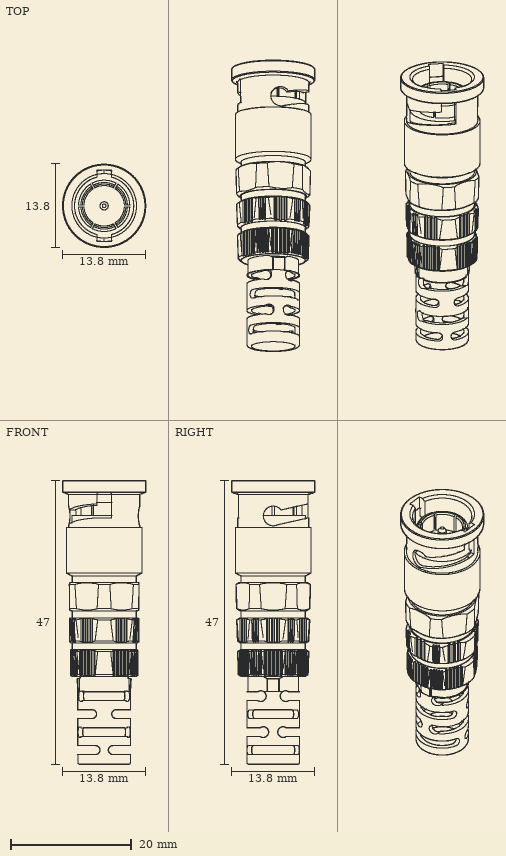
import cadquery as cq
import math

total_height = 47.0

flange_radius = 6.9
flange_bottom = 44.95
flange_edge = 0.15
collar_radius = 5.9
collar_top = 44.65
sleeve_radius = 6.28
sleeve_top = 39.2
sleeve_bottom = 31.15
sleeve_chamfer_height = 0.5
mouth_radius = 5.35
mouth_depth = 0.4
mating_bore_radius = 4.9

entry_half_width = 1.22
entry_depth_radius = 5.92
entry_bottom = 40.8
ramp_height = 2.33
ramp_slope = 0.225
seat_radius = 1.63
seat_height = 41.1
channel_reach = 8.0

core_radius = 5.33
core_top = 41.2
boot_shoulder = 14.5

contact_bore_radius = 3.35
contact_radius = 3.85
contact_tip_radius = 4.25
contact_mouth_chamfer = 0.25
contact_bulge_bottom = 43.35
contact_top = 44.65
contact_slit_count = 6
contact_slit_width = 0.35
pin_radius = 0.68
pin_tip_radius = 0.3
pin_top = 44.1
pin_tip_height = 0.5

nut_edge_height = 0.35
nut_edge_depth = 0.55
flat_half_width = 1.75
rib_half_width = 0.7
rib_overshoot = 0.1
wrench_apothem = 5.73
wrench_bottom = 25.4
wrench_top = 30.1
wrench_radius_top = 6.2
wrench_radius_bottom = 6.08
upper_knurl_apothem = 5.73
upper_knurl_bottom = 20.05
upper_knurl_top = 24.25
upper_knurl_radius_top = 6.08
upper_knurl_radius_bottom = 5.94
lower_knurl_apothem = 5.6
lower_knurl_top = 19.0
lower_knurl_radius_top = 5.94
lower_knurl_radius_bottom = 5.8
knurl_depth = 0.2
upper_flat_grooves = 3
upper_flat_groove_pitch = 0.83
upper_corner_grooves = 3
lower_flat_grooves = 5
lower_flat_groove_pitch = 0.66
lower_corner_grooves = 5
corner_groove_pitch = 0.45
groove_mouth_share = 0.6
groove_floor_share = 0.25

boot_radius = 4.37
boot_neck_radius = 4.2
boot_neck_bottom = 12.05
boot_bore_radius = 3.6
boot_bottom_fillet = 0.35
slot_pitch = 2.975
lowest_slot_height = 2.36
slot_height = 1.44
relief_radius = 0.87
web_half_widths = (0.71, 0.77, 1.27, 1.18)

tab_radius_top = 4.5
tab_top = 14.22
tab_half_width = 1.03
tab_chamfer = 0.12
window_top_half_width = 1.58


def revolve_profile(points):
    """Solid of revolution about Z from (radius, height) points."""
    return cq.Workplane("XZ").polyline(points).close().revolve(360, (0, 0, 0), (0, 1, 0))


def cylinder(radius, bottom, top):
    return cq.Workplane("XY").workplane(offset=bottom).circle(radius).extrude(top - bottom)


def spun(shape, angle):
    return shape.rotate((0, 0, 0), (0, 0, 1), angle)



def bayonet_channel():
    """Cutter for one side: entry groove at -Y, ramp falling to the round seat at -X."""
    entry = cq.Workplane("XY").box(
        2 * entry_half_width, entry_depth_radius, total_height - entry_bottom, centered=(True, False, False)
    ).translate((0, -entry_depth_radius, entry_bottom))
    entry_end = -channel_reach
    seat_bottom = seat_height - seat_radius
    rise = -entry_end * ramp_slope
    ramp = (
        cq.Workplane("YZ")
        .polyline([
            (0, seat_bottom),
            (entry_end, seat_bottom + rise),
            (entry_end, seat_bottom + rise + ramp_height),
            (0, seat_bottom + ramp_height),
        ])
        .close()
        .extrude(-channel_reach)
    )
    seat = cq.Workplane("YZ").center(0, seat_height).circle(seat_radius).extrude(-channel_reach)
    return entry.union(ramp).union(seat)


def make_coupling():
    coupling = revolve_profile([
        (mating_bore_radius, core_top),
        (mating_bore_radius, total_height - mouth_depth),
        (mouth_radius, total_height),
        (flange_radius - flange_edge, total_height),
        (flange_radius, total_height - flange_edge),
        (flange_radius, flange_bottom + flange_edge),
        (flange_radius - flange_edge, flange_bottom),
        (collar_radius, collar_top),
        (collar_radius, sleeve_top),
        (sleeve_radius, sleeve_top),
        (sleeve_radius, sleeve_bottom + sleeve_chamfer_height),
        (core_radius, sleeve_bottom),
        (core_radius, core_top),
    ])
    channel = bayonet_channel()
    for angle in (0, 180):
        coupling = coupling.cut(spun(channel, angle))
    return coupling



def nut_envelope(bottom, top, radius_bottom, radius_top):
    """Slightly conical blank with bevelled ends that trims a nut's corners."""
    return revolve_profile([
        (0, bottom),
        (radius_bottom - nut_edge_depth, bottom),
        (radius_bottom, bottom + nut_edge_height),
        (radius_top, top - nut_edge_height),
        (radius_top - nut_edge_depth, top),
        (0, top),
    ])


def ribbed_prism(apothem, rib_radius, bottom, top):
    """Six-sided prism with one flat facing +X and a raised rib on each corner."""
    points = []
    for side in range(6):
        for radial, across, axis_angle in (
            (apothem, -flat_half_width, 0),
            (apothem, flat_half_width, 0),
            (rib_radius + rib_overshoot, -rib_half_width, 30),
            (rib_radius + rib_overshoot, rib_half_width, 30),
        ):
            angle = math.radians(60 * side + axis_angle)
            points.append((
                radial * math.cos(angle) - across * math.sin(angle),
                radial * math.sin(angle) + across * math.cos(angle),
            ))
    return cq.Workplane("XY").workplane(offset=bottom).polyline(points).close().extrude(top - bottom)


def hexagonal_prism(apothem, bottom, top):
    """Plain hexagonal prism with one flat facing +X."""
    corner_diameter = 2 * apothem / math.cos(math.pi / 6)
    prism = cq.Workplane("XY").workplane(offset=bottom).polygon(6, corner_diameter).extrude(top - bottom)
    return spun(prism, 30)


def groove_row(surface_radius, count, pitch, bottom, top):
    """Row of parallel tapered grooves cut into a face looking along +X."""
    root = surface_radius - knurl_depth
    outside = surface_radius + knurl_depth
    floor_half_width = pitch * groove_floor_share / 2
    mouth_half_width = pitch * groove_mouth_share / 2
    outside_half_width = 2 * mouth_half_width - floor_half_width
    row = cq.Workplane("XY").workplane(offset=bottom)
    for index in range(count):
        across = (index - (count - 1) / 2) * pitch
        row = row.polyline([
            (root, across - floor_half_width),
            (outside, across - outside_half_width),
            (outside, across + outside_half_width),
            (root, across + floor_half_width),
        ]).close()
    return row.extrude(top - bottom)


def knurled(nut, flat_grooves, corner_grooves):
    """Nut with grooved flats and corners; the two corners on the Y axis stay smooth."""
    for flat_angle in range(0, 360, 60):
        nut = nut.cut(spun(flat_grooves, flat_angle))
    for corner_angle in (30, 150, 210, 330):
        nut = nut.cut(spun(corner_grooves, corner_angle))
    return nut


def wrench_nut():
    envelope = nut_envelope(wrench_bottom, wrench_top, wrench_radius_bottom, wrench_radius_top)
    return ribbed_prism(wrench_apothem, wrench_radius_top, wrench_bottom, wrench_top).intersect(envelope)


def upper_knurled_nut():
    span = (upper_knurl_bottom, upper_knurl_top)
    nut = ribbed_prism(upper_knurl_apothem, upper_knurl_radius_top, *span)
    nut = nut.intersect(nut_envelope(*span, upper_knurl_radius_bottom, upper_knurl_radius_top))
    flat_grooves = groove_row(upper_knurl_apothem, upper_flat_grooves, upper_flat_groove_pitch, *span)
    corner_grooves = groove_row(upper_knurl_radius_bottom, upper_corner_grooves, corner_groove_pitch, *span)
    return knurled(nut, flat_grooves, corner_grooves)


def lower_knurled_nut():
    span = (boot_shoulder, lower_knurl_top)
    nut = hexagonal_prism(lower_knurl_apothem, *span)
    nut = nut.intersect(nut_envelope(*span, lower_knurl_radius_bottom, lower_knurl_radius_top))
    flat_grooves = groove_row(lower_knurl_apothem, lower_flat_grooves, lower_flat_groove_pitch, *span)
    corner_grooves = groove_row(lower_knurl_radius_bottom, lower_corner_grooves, corner_groove_pitch, *span)
    return knurled(nut, flat_grooves, corner_grooves)



def outer_contact():
    """Tube with a bulged tip, slit into spring fingers."""
    bulge_middle = (contact_bulge_bottom + contact_top) / 2
    tube = (
        cq.Workplane("XZ")
        .moveTo(contact_bore_radius, core_top)
        .lineTo(contact_radius, core_top)
        .lineTo(contact_radius, contact_bulge_bottom)
        .threePointArc((contact_tip_radius, bulge_middle), (contact_radius, contact_top))
        .lineTo(contact_bore_radius + contact_mouth_chamfer, contact_top)
        .lineTo(contact_bore_radius, contact_top - contact_mouth_chamfer)
        .close()
        .revolve(360, (0, 0, 0), (0, 1, 0))
    )
    slit = cq.Workplane("XY").box(
        contact_tip_radius, contact_slit_width, contact_top - core_top, centered=(False, True, False)
    ).translate((0, 0, core_top))
    for index in range(contact_slit_count):
        tube = tube.cut(spun(slit, 360 / contact_slit_count * index))
    return tube


def centre_pin():
    return revolve_profile([
        (0, core_top),
        (pin_radius, core_top),
        (pin_radius, pin_top - pin_tip_height),
        (pin_tip_radius, pin_top),
        (0, pin_top),
    ])



def boot_slot(height, web_half_width, relieved):
    """Pair of cutters along X, leaving a web of material around Y = 0."""
    end_radius = relief_radius if relieved else slot_height / 2
    end_centre = web_half_width + end_radius
    length = 2 * boot_radius
    cutters = cq.Workplane("XY")
    for side in (-1, 1):
        bar = cq.Workplane("XY").box(length, boot_radius, slot_height)
        bar = bar.translate((0, side * (end_centre + boot_radius / 2), height))
        end = cq.Workplane("YZ").center(side * end_centre, height).circle(end_radius)
        cutters = cutters.add(bar.union(end.extrude(length / 2, both=True)))
    return cutters.combine()


def snap_tab():
    """Wedge on the -X and +X sides of the neck, proudest at its top."""
    tab = (
        cq.Workplane("XZ")
        .polyline([
            (-boot_radius, boot_neck_bottom),
            (-tab_radius_top, tab_top),
            (tab_radius_top, tab_top),
            (boot_radius, boot_neck_bottom),
        ])
        .close()
        .extrude(tab_half_width, both=True)
    )
    return tab.faces("<X or >X").edges("not <Z").chamfer(tab_chamfer)


def snap_window():
    """Trapezoidal opening through both walls, between the tabs and the lower knurled nut."""
    return (
        cq.Workplane("YZ")
        .polyline([
            (-tab_half_width, tab_top),
            (-window_top_half_width, boot_shoulder),
            (window_top_half_width, boot_shoulder),
            (tab_half_width, tab_top),
        ])
        .close()
        .extrude(boot_radius, both=True)
    )


def make_boot():
    boot = cylinder(boot_radius, 0, boot_neck_bottom).faces("<Z").edges().fillet(boot_bottom_fillet)
    boot = boot.union(cylinder(boot_neck_radius, boot_neck_bottom, boot_shoulder))
    boot = boot.union(snap_tab()).cut(snap_window())
    boot = boot.cut(cylinder(boot_bore_radius, 0, boot_shoulder))
    for level, web_half_width in enumerate(web_half_widths):
        relieved = level % 2 == 1
        angle = 0 if relieved else 90
        height = lowest_slot_height + level * slot_pitch
        boot = boot.cut(spun(boot_slot(height, web_half_width, relieved), angle))
    return boot


def make_plug():
    plug = cylinder(core_radius, boot_shoulder, core_top)
    plug = plug.union(wrench_nut()).union(upper_knurled_nut()).union(lower_knurled_nut())
    plug = plug.cut(cylinder(boot_bore_radius, boot_shoulder, lower_knurl_top))
    plug = plug.union(outer_contact()).union(centre_pin())
    return plug.union(make_boot())


coupling = make_coupling()
plug = make_plug()

result = cq.Compound.makeCompound([*coupling.solids().vals(), *plug.solids().vals()])